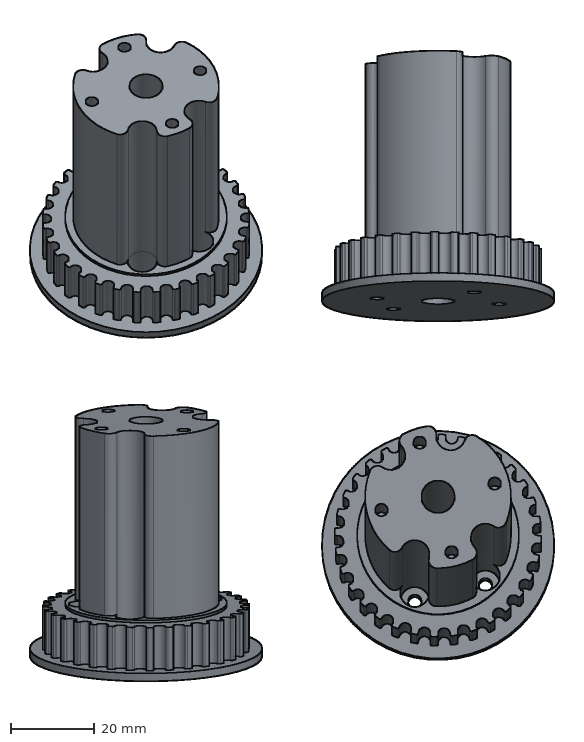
import cadquery as cq
import math

total_height = 58.2
flange_thickness = 2.0
gear_top = 12.6
shoulder_top = 13.2

flange_radius = 28.0
shoulder_radius = 19.5
hub_radius = 17.6
bore_diameter = 8.0

tooth_count = 32
tip_radius = 24.9
groove_depth = 2.1
groove_radius = 1.45
tip_rounding = 0.4

screw_circle_radius = 15.25
screw_angles = [0, 110, 180, 300]
screw_hole_diameter = 3.25
channel_radius = 3.5
channel_floor = 3.0
channel_edge_rounding = 2.0

fixing_circle_radius = 14.0
fixing_angles = [55, 145, 235, 330]
fixing_hole_diameter = 3.0
fixing_hole_depth = 10.0


def polar_points(radius, angles):
    """Points on a circle about the part axis, at angles in degrees."""
    return [
        (radius * math.cos(math.radians(angle)), radius * math.sin(math.radians(angle)))
        for angle in angles
    ]


def cylinder(radius, bottom, top):
    """Solid cylinder on the part axis between two heights."""
    return cq.Workplane("XY").workplane(offset=bottom).circle(radius).extrude(top - bottom)


def cylinders_at(points, diameter, bottom, top):
    """Equal upright cylinders at several points, used as cutters."""
    plane = cq.Workplane("XY").workplane(offset=bottom)
    return plane.pushPoints(points).circle(diameter / 2).extrude(top - bottom)


def toothed_ring():
    """Pulley rim: one round-ended groove per tooth cut inward from the tips."""
    groove_center = tip_radius - groove_depth + groove_radius
    slot_outer_center = tip_radius + groove_radius
    slot_length = slot_outer_center - groove_center + 2 * groove_radius
    slot_middle = (groove_center + slot_outer_center) / 2
    height = gear_top - flange_thickness
    grooves = (
        cq.Workplane("XY")
        .workplane(offset=flange_thickness)
        .polarArray(slot_middle, 0, 360, tooth_count)
        .slot2D(slot_length, 2 * groove_radius)
        .extrude(height)
    )
    rim = cylinder(tip_radius, flange_thickness, gear_top).cut(grooves)
    inner_limit = tip_radius - tip_rounding / 2
    corners = [
        edge
        for edge in rim.edges("|Z").vals()
        if math.hypot(edge.Center().x, edge.Center().y) > inner_limit
    ]
    return rim.newObject(corners).fillet(tip_rounding)


def hub(channels):
    """Hub column with the head channels cut in its side and their edges rounded."""
    column = cylinder(hub_radius, shoulder_top, total_height).cut(channels)
    return column.edges("|Z").fillet(channel_edge_rounding)


screw_points = polar_points(screw_circle_radius, screw_angles)
fixing_points = polar_points(fixing_circle_radius, fixing_angles)

channels = cylinders_at(screw_points, 2 * channel_radius, channel_floor, total_height)
screw_holes = cylinders_at(screw_points, screw_hole_diameter, 0, channel_floor)
fixing_holes = cylinders_at(
    fixing_points, fixing_hole_diameter, total_height - fixing_hole_depth, total_height
)
bore = cylinder(bore_diameter / 2, 0, total_height)

base = (
    cylinder(flange_radius, 0, flange_thickness)
    .union(toothed_ring())
    .union(cylinder(shoulder_radius, gear_top, shoulder_top))
    .cut(channels)
    .cut(screw_holes)
)

result = base.union(hub(channels)).cut(bore).cut(fixing_holes)